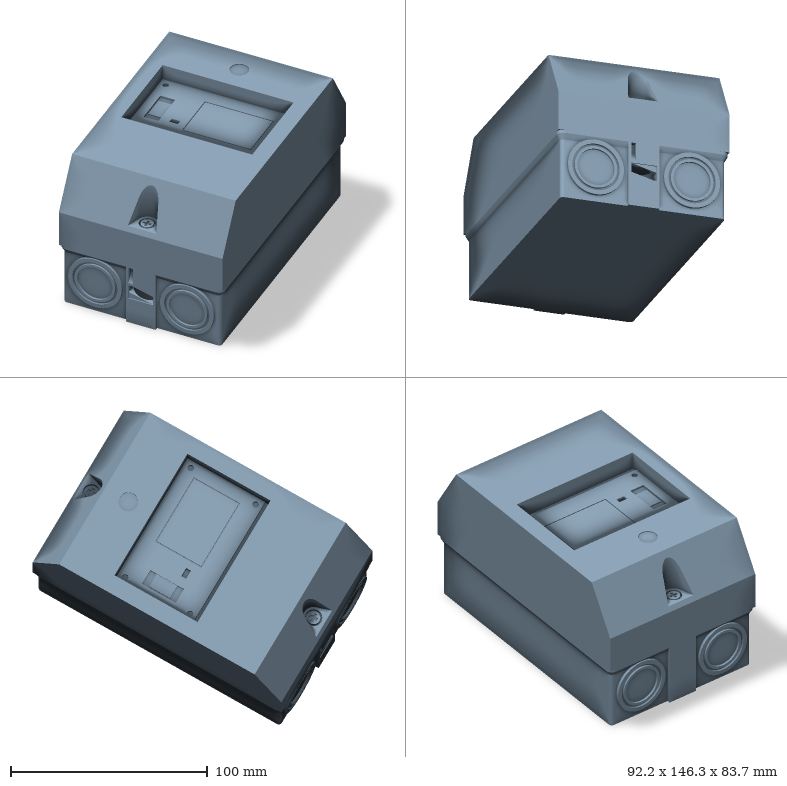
import cadquery as cq
import math

WIDTH = 92.2
LENGTH = 146.3
HEIGHT = 83.7
SPLIT_Z = 36.5
HALF_LENGTH = LENGTH / 2

WALL_INSET = 1.8
LIP_BOTTOM_Z = 34.8
BEVEL_BOTTOM_Z = 31.9
LIP_CORNER_RADIUS = 3.7
BODY_CORNER_RADIUS = LIP_CORNER_RADIUS - WALL_INSET
STRIP_WIDTH = 16.7

KNOCKOUT_X = 25.9
KNOCKOUT_Z = 18.5
BOSS_RADIUS = 15.0
BOSS_HEIGHT = 1.6
GROOVE_OUTER_RADIUS = 12.7
GROOVE_INNER_RADIUS = 11.4
DISC_RADIUS = 10.0
KNOCKOUT_DEPTH = 1.2

SEAL_WIDTH = 13.8
SEAL_HEIGHT = 8.2
SEAL_Z = 19.3
SEAL_RECESS = 0.6
SLIT_HEIGHT = 4.7
SLIT_TILT = 15.0
CAVITY_RADIUS = SEAL_WIDTH / 2
CAVITY_FRONT_WALL = 1.2
CAVITY_SETBACK = CAVITY_RADIUS + CAVITY_FRONT_WALL
CAVITY_BOTTOM_Z = 4.4
KEY_SLOT_WIDTH = 2.5
KEY_SLOT_BOTTOM_Z = 24.9
KEY_SLOT_RAMP_TOP_Z = 30.0
KEY_SLOT_TOP_Z = 34.5
KEY_SLOT_DEPTH = 2.9

SLOPE_RUN = 15.7
SLOPE_BOTTOM_Z = 57.2
INDICATOR_RADIUS = 5.0
INDICATOR_Y = 43.6
INDICATOR_DEPTH = 0.6

SCREW_Y = 65.4
SCALLOP_FLOOR_Z = 59.8
SCALLOP_RADIUS = 5.7
SCALLOP_FLARE = 18.0
SCREW_SEAT_RADIUS = 4.4
SCREW_RADIUS = 3.4
SCREW_HEIGHT = 2.3
CROSS_LENGTH = 4.5
CROSS_WIDTH = 1.5
CROSS_DEPTH = 1.2

PANEL_WIDTH = 73.7
PANEL_FRONT_Y = -18.6
PANEL_BACK_Y = 30.3
PANEL_DEPTH = 8.8
PANEL_Z = HEIGHT - PANEL_DEPTH
FRONT_GROOVE_WIDTH = 3.0
FRONT_GROOVE_DEPTH = 1.5

PANEL_HOLE_RADIUS = 1.6
PANEL_HOLE_DEPTH = 1.5
PANEL_HOLE_X = 33.2
PANEL_HOLE_FRONT_Y = -12.0
PANEL_HOLE_BACK_Y = 26.2

DISPLAY_CENTER = (10.2, 8.8)
DISPLAY_SIZE = (39.0, 27.2)
DISPLAY_GROOVE_WIDTH = 0.6
DISPLAY_GROOVE_DEPTH = 0.6

SWITCH_CENTER = (-27.7, 7.2)
SWITCH_SIZE = (8.3, 19.8)
SWITCH_DEPTH = 1.2
ROCKER_SIZE = (7.6, 12.3)
ROCKER_HEIGHT = 0.7

SLOT_CENTER = (-15.8, 0.5)
SLOT_SIZE = (4.8, 2.8)
SLOT_DEPTH = 2.3


def block(center, size, bottom_z, height):
    """Upright block with the given XY centre and XY size."""
    return cq.Workplane("XY").box(*size, height, centered=(True, True, False)).translate((*center, bottom_z))


def disc_along_y(x, z, radius, y_start, y_end):
    """Cylinder lying along +Y from y_start to y_end."""
    plane = cq.Plane((x, y_start, z), xDir=(1, 0, 0), normal=(0, 1, 0))
    return cq.Workplane(plane).circle(radius).extrude(y_end - y_start)



def base_shell():
    """Rounded box that widens through a bevel into the lip under the cover."""
    body_width = WIDTH - 2 * WALL_INSET
    body_length = LENGTH - 2 * WALL_INSET
    body = block((0, 0), (body_width, body_length), 0, BEVEL_BOTTOM_Z)
    body = body.edges("|Z").fillet(BODY_CORNER_RADIUS)
    lip = block((0, 0), (WIDTH, LENGTH), LIP_BOTTOM_Z, SPLIT_Z - LIP_BOTTOM_Z)
    lip = lip.edges("|Z").fillet(LIP_CORNER_RADIUS)
    body_top = body.faces(">Z").wires().val()
    lip_bottom = lip.faces("<Z").wires().val()
    bevel = cq.Workplane(cq.Solid.makeLoft([body_top, lip_bottom], True))
    strip = block((0, 0), (STRIP_WIDTH, LENGTH), 0, SPLIT_Z)
    return body.union(bevel).union(lip).union(strip)


def knockout_boss(x):
    """Raised disc at the front end, with a ring groove and a sunken centre."""
    face_y = -HALF_LENGTH + WALL_INSET - BOSS_HEIGHT
    floor_y = face_y + KNOCKOUT_DEPTH
    back_y = -HALF_LENGTH + LIP_CORNER_RADIUS

    def disc(radius, end_y):
        return disc_along_y(x, KNOCKOUT_Z, radius, face_y, end_y)

    groove = disc(GROOVE_OUTER_RADIUS, floor_y).cut(disc(GROOVE_INNER_RADIUS, floor_y))
    return disc(BOSS_RADIUS, back_y).cut(groove).cut(disc(DISC_RADIUS, floor_y))


def seal_window():
    """Shallow window with a tilted slit in its back that opens into an upright round cavity."""
    center = (0, -HALF_LENGTH, SEAL_Z)
    recess = cq.Workplane("XY").box(SEAL_WIDTH, 2 * SEAL_RECESS, SEAL_HEIGHT).translate(center)
    opening = cq.Workplane("XY").box(SEAL_WIDTH, 2 * CAVITY_SETBACK, SEAL_HEIGHT)
    slit = cq.Workplane("XY").box(2 * SEAL_WIDTH, 2 * CAVITY_SETBACK, SLIT_HEIGHT)
    slit = slit.rotate((0, 0, 0), (0, 1, 0), SLIT_TILT).intersect(opening).translate(center)
    cavity = (
        cq.Workplane("XY", origin=(0, CAVITY_SETBACK - HALF_LENGTH, CAVITY_BOTTOM_Z))
        .circle(CAVITY_RADIUS)
        .extrude(SEAL_Z + SEAL_HEIGHT / 2 - CAVITY_BOTTOM_Z)
    )
    return recess.union(slit).union(cavity)


def key_slot():
    """Narrow slot whose floor ramps up from the mouth to the back wall."""
    mouth_y = -HALF_LENGTH
    back_y = mouth_y + KEY_SLOT_DEPTH
    left_x = -SEAL_WIDTH / 2
    profile = [
        (mouth_y, KEY_SLOT_BOTTOM_Z),
        (back_y, KEY_SLOT_RAMP_TOP_Z),
        (back_y, KEY_SLOT_TOP_Z),
        (mouth_y, KEY_SLOT_TOP_Z),
    ]
    return cq.Workplane("YZ", origin=(left_x, 0, 0)).polyline(profile).close().extrude(KEY_SLOT_WIDTH)


def make_base():
    base = base_shell()
    for x in (-KNOCKOUT_X, KNOCKOUT_X):
        boss = knockout_boss(x)
        socket = disc_along_y(x, KNOCKOUT_Z, BOSS_RADIUS, -HALF_LENGTH, -HALF_LENGTH + LIP_CORNER_RADIUS)
        base = base.cut(socket).cut(socket.mirror("XZ"))
        base = base.union(boss).union(boss.mirror("XZ"))
    return base.cut(seal_window()).cut(key_slot())



def cover_block():
    """Box with both ends sloped towards the top."""
    profile = [
        (-HALF_LENGTH, SPLIT_Z),
        (HALF_LENGTH, SPLIT_Z),
        (HALF_LENGTH, SLOPE_BOTTOM_Z),
        (HALF_LENGTH - SLOPE_RUN, HEIGHT),
        (SLOPE_RUN - HALF_LENGTH, HEIGHT),
        (-HALF_LENGTH, SLOPE_BOTTOM_Z),
    ]
    return cq.Workplane("YZ").polyline(profile).close().extrude(WIDTH / 2, both=True)


def scallop():
    """Round-backed access cut at the front slope, with the screw seat in its floor."""
    flare = math.radians(SCALLOP_FLARE)
    tangent_x = SCALLOP_RADIUS * math.cos(flare)
    tangent_y = SCALLOP_RADIUS * math.sin(flare)
    outer_y = SCREW_Y - HALF_LENGTH
    outer_x = tangent_x + (tangent_y - outer_y) * math.tan(flare)
    access = (
        cq.Workplane("XY", origin=(0, -SCREW_Y, SCALLOP_FLOOR_Z))
        .moveTo(-outer_x, outer_y)
        .lineTo(-tangent_x, tangent_y)
        .threePointArc((0, SCALLOP_RADIUS), (tangent_x, tangent_y))
        .lineTo(outer_x, outer_y)
        .close()
        .extrude(HEIGHT - SCALLOP_FLOOR_Z)
    )
    seat = (
        cq.Workplane("XY", origin=(0, -SCREW_Y, SCALLOP_FLOOR_Z))
        .circle(SCREW_SEAT_RADIUS)
        .extrude(-SCREW_HEIGHT)
    )
    return access.union(seat)


def panel_recess():
    """Sunken panel with a groove along its front edge."""
    center_y = (PANEL_FRONT_Y + PANEL_BACK_Y) / 2
    recess = block((0, center_y), (PANEL_WIDTH, PANEL_BACK_Y - PANEL_FRONT_Y), PANEL_Z, PANEL_DEPTH)
    groove_y = PANEL_FRONT_Y + FRONT_GROOVE_WIDTH / 2
    groove_bottom_z = PANEL_Z - FRONT_GROOVE_DEPTH
    groove = block((0, groove_y), (PANEL_WIDTH, FRONT_GROOVE_WIDTH), groove_bottom_z, FRONT_GROOVE_DEPTH)
    return recess.union(groove)


def panel_holes():
    spots = [(x, y) for x in (-PANEL_HOLE_X, PANEL_HOLE_X) for y in (PANEL_HOLE_FRONT_Y, PANEL_HOLE_BACK_Y)]
    plane = cq.Workplane("XY", origin=(0, 0, PANEL_Z))
    return plane.pushPoints(spots).circle(PANEL_HOLE_RADIUS).extrude(-PANEL_HOLE_DEPTH)


def display_groove():
    """Thin groove that frames the display."""
    inner_size = [side - 2 * DISPLAY_GROOVE_WIDTH for side in DISPLAY_SIZE]
    bottom_z = PANEL_Z - DISPLAY_GROOVE_DEPTH
    outer = block(DISPLAY_CENTER, DISPLAY_SIZE, bottom_z, DISPLAY_GROOVE_DEPTH)
    return outer.cut(block(DISPLAY_CENTER, inner_size, bottom_z, DISPLAY_GROOVE_DEPTH))


def switch_recess():
    """Recess with a low rocker left standing against its right side."""
    bottom_z = PANEL_Z - SWITCH_DEPTH
    center_x, center_y = SWITCH_CENTER
    rocker_x = center_x + (SWITCH_SIZE[0] - ROCKER_SIZE[0]) / 2
    recess = block(SWITCH_CENTER, SWITCH_SIZE, bottom_z, SWITCH_DEPTH)
    return recess.cut(block((rocker_x, center_y), ROCKER_SIZE, bottom_z, ROCKER_HEIGHT))


def indicator_recess():
    plane = cq.Workplane("XY", origin=(0, INDICATOR_Y, HEIGHT))
    return plane.circle(INDICATOR_RADIUS).extrude(-INDICATOR_DEPTH)


def make_cover():
    front_scallop = scallop()
    cover = cover_block().cut(front_scallop).cut(front_scallop.mirror("XZ"))
    cover = cover.cut(indicator_recess()).cut(panel_recess())
    cover = cover.cut(panel_holes()).cut(display_groove()).cut(switch_recess())
    return cover.cut(block(SLOT_CENTER, SLOT_SIZE, PANEL_Z - SLOT_DEPTH, SLOT_DEPTH))



def make_screw(y):
    """Cross-recessed screw head, standing on the floor of its seat."""
    bottom_z = SCALLOP_FLOOR_Z - SCREW_HEIGHT
    head = cq.Workplane("XY", origin=(0, y, bottom_z)).circle(SCREW_RADIUS).extrude(SCREW_HEIGHT)
    for size in ((CROSS_LENGTH, CROSS_WIDTH), (CROSS_WIDTH, CROSS_LENGTH)):
        head = head.cut(block((0, y), size, SCALLOP_FLOOR_Z - CROSS_DEPTH, CROSS_DEPTH))
    return head


base = make_base()
cover = make_cover()
screws = [make_screw(y) for y in (-SCREW_Y, SCREW_Y)]

result = cq.Compound.makeCompound([base.val(), cover.val(), *[screw.val() for screw in screws]])